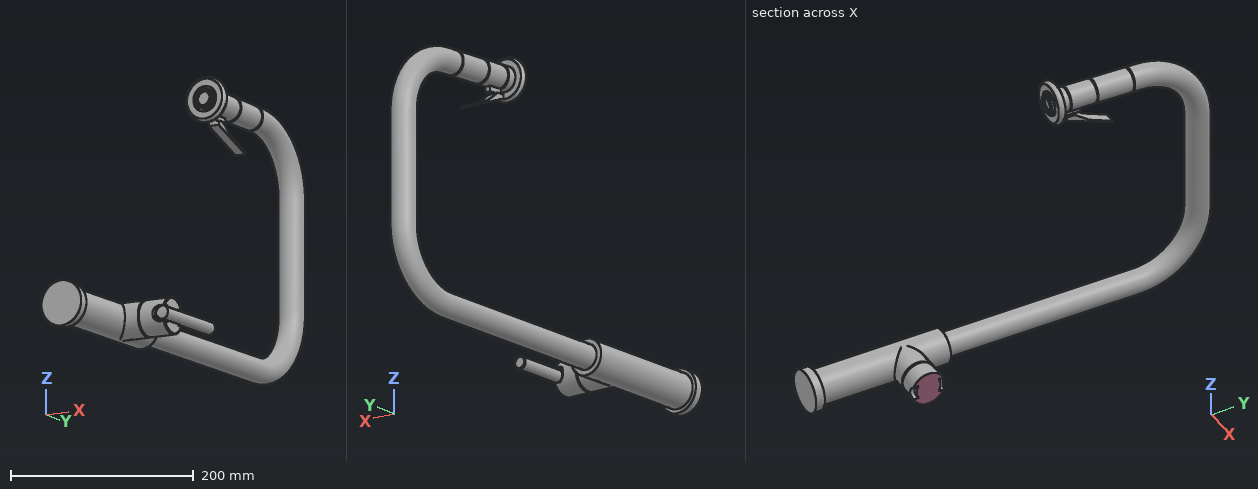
import cadquery as cq
import math

overall_x = 102.5
flange_r = 51.0 / 2
flange_t = 11.0
column_r = 42.0 / 2
column_end = 171.0
socket_depth = 15.0

barrel_r = 20.5
barrel_y = 121.0
barrel_start = 37.5
barrel_end = 70.0
barrel_chamfer = 1.0
lever_r = 7.5
lever_x = overall_x - flange_r - lever_r
lever_front = 98.5
lever_back = 201.0
lever_chamfer = 1.0
slot_r = 9.0
slot_x = 65.0
slot_floor_r = 15.0

tube_r = 14.5
overall_y = 504.5
bend_r = 75.5
riser_y = overall_y - tube_r
bend_y = riser_y - bend_r
riser_top = 204.5
head_tilt = 2.0
spout_tip = 12.5

head_r = tube_r
disc_start = 91.5
disc_t = 8.5
disc_r = flange_r
disc_bulge = 3.0
moat_r = 14.0
moat_depth = 1.0
nozzle_r = 11.0
nozzle_h = 3.0
nozzle_bore_r = 8.0
nozzle_bore_depth = 2.5
nozzle_chamfer = 1.0
head_seams = [46.5, 79.5]

paddle_w = 13.0
bracket_w = 7.0
bracket_start = 60.5
bracket_end = head_seams[1]
bracket_drop = 20.5
heel_drop = 25.5
wedge_start = 52.5
wedge_top_drop = 33.0
wedge_end = 70.0
paddle_tip = 21.5
paddle_top_drop = 44.5
paddle_bottom_drop = 46.5

seam_w = 1.0
seam_depth = 0.5


def cylinder_y(radius, start, end):
    """Cylinder on the Y axis from start to end."""
    plane = cq.Plane(origin=(0, start, 0), xDir=(1, 0, 0), normal=(0, 1, 0))
    return cq.Workplane(plane).circle(radius).extrude(end - start)


def cylinder_x(radius, start, end):
    """Cylinder on the barrel axis, parallel to X, from start to end."""
    plane = cq.Plane(origin=(start, barrel_y, 0), xDir=(0, 1, 0), normal=(1, 0, 0))
    return cq.Workplane(plane).circle(radius).extrude(end - start)


def make_body():
    flange = cylinder_y(flange_r, 0, flange_t)
    column = cylinder_y(column_r, 0, column_end)
    stub = cylinder_x(barrel_r, 0, barrel_start)
    socket = cylinder_y(tube_r, column_end - socket_depth, column_end)
    return flange.union(column).union(stub).cut(socket)


def make_handle():
    barrel = cylinder_x(barrel_r, barrel_start, barrel_end).faces(">X").chamfer(barrel_chamfer)
    groove_end = barrel_start + seam_w
    groove = cylinder_x(barrel_r, barrel_start, groove_end)
    groove = groove.cut(cylinder_x(barrel_r - seam_depth, barrel_start, groove_end))
    slot_start = barrel_y - barrel_r
    slot_length = 2 * barrel_r
    slot = cylinder_y(slot_r, slot_start, slot_start + slot_length).translate((slot_x, 0, 0))
    open_side = cq.Workplane("XY").box(
        barrel_end - slot_x, slot_length, 2 * slot_r, centered=(False, False, True)
    ).translate((slot_x, slot_start, 0))
    floor = cylinder_x(slot_floor_r, barrel_start, barrel_end)
    slot = slot.union(open_side).cut(floor)
    lever = cylinder_y(lever_r, barrel_y, lever_back).faces(">Y").chamfer(lever_chamfer)
    lever_nose = cylinder_y(lever_r, lever_front, barrel_y)
    nose_curve = cylinder_x(barrel_y - lever_front, -lever_r, lever_r)
    lever = lever.union(lever_nose.intersect(nose_curve)).translate((lever_x, 0, 0))
    return barrel.cut(groove).cut(slot).union(lever)


tilt = math.radians(head_tilt)
bend_end_y = bend_y + bend_r * math.sin(tilt)
bend_end_z = riser_top + bend_r * math.cos(tilt)
tip_y = bend_end_y - spout_tip * math.cos(tilt)
tip_z = bend_end_z + spout_tip * math.sin(tilt)


def make_spout():
    diagonal = bend_r * math.sqrt(0.5)
    mid_angle = math.radians((90 - head_tilt) / 2)
    upper_mid = (bend_y + bend_r * math.cos(mid_angle), riser_top + bend_r * math.sin(mid_angle))
    spout_start = column_end - socket_depth
    path = (
        cq.Workplane("YZ")
        .moveTo(spout_start, 0)
        .lineTo(bend_y, 0)
        .threePointArc((bend_y + diagonal, bend_r - diagonal), (riser_y, bend_r))
        .lineTo(riser_y, riser_top)
        .threePointArc(upper_mid, (bend_end_y, bend_end_z))
        .lineTo(tip_y, tip_z)
    )
    plane = cq.Plane(origin=(0, spout_start, 0), xDir=(1, 0, 0), normal=(0, 1, 0))
    return cq.Workplane(plane).circle(tube_r).sweep(path)


def extrude_profile(outline, width):
    """Plate with the given (Y, Z) outline, centred on X = 0."""
    return cq.Workplane("YZ").polyline(outline).close().extrude(width / 2, both=True)


def make_trigger():
    """Narrow bracket with a wider thin paddle, under a head that points along -Y."""
    bracket = extrude_profile(
        [
            (-bracket_start, 0),
            (-bracket_start, -bracket_drop),
            (-bracket_end, -bracket_drop),
            (-bracket_end, 0),
        ],
        bracket_w,
    )
    paddle = extrude_profile(
        [
            (-wedge_end, -bracket_drop),
            (-wedge_start, -wedge_top_drop),
            (-paddle_tip, -paddle_top_drop),
            (-paddle_tip, -paddle_bottom_drop),
            (-bracket_end, -heel_drop),
            (-bracket_end, -bracket_drop),
        ],
        paddle_w,
    )
    return bracket.union(paddle)


def make_disc():
    """Disc with a bulging rim and a shallow ring recess in its outer face."""
    disc_end = disc_start + disc_t
    edge_r = disc_r - disc_bulge
    disc = (
        cq.Workplane("XY")
        .moveTo(0, -disc_start)
        .lineTo(edge_r, -disc_start)
        .threePointArc((disc_r, -disc_start - disc_t / 2), (edge_r, -disc_end))
        .lineTo(0, -disc_end)
        .close()
        .revolve(360, (0, 0, 0), (0, 1, 0))
    )
    return disc.cut(cylinder_y(moat_r, -disc_end, moat_depth - disc_end))


def make_spray_head():
    nozzle_end = disc_start + disc_t + nozzle_h
    barrel = cylinder_y(head_r, -disc_start, 0)
    nozzle = cylinder_y(nozzle_r, -nozzle_end, -disc_start).faces("<Y").chamfer(nozzle_chamfer)
    bore = cylinder_y(nozzle_bore_r, -nozzle_end, nozzle_bore_depth - nozzle_end)
    for seam in [seam_w / 2] + head_seams:
        start = -seam - seam_w / 2
        end = start + seam_w
        groove = cylinder_y(head_r, start, end).cut(cylinder_y(head_r - seam_depth, start, end))
        barrel = barrel.cut(groove)
    head = barrel.union(make_disc()).union(nozzle).cut(bore).union(make_trigger())
    return head.rotate((0, 0, 0), (1, 0, 0), -head_tilt).translate((0, tip_y, tip_z))


body = make_body()
handle = make_handle()
spout = make_spout()
spray_head = make_spray_head()

result = cq.Compound.makeCompound([body.val(), handle.val(), spout.val(), spray_head.val()])